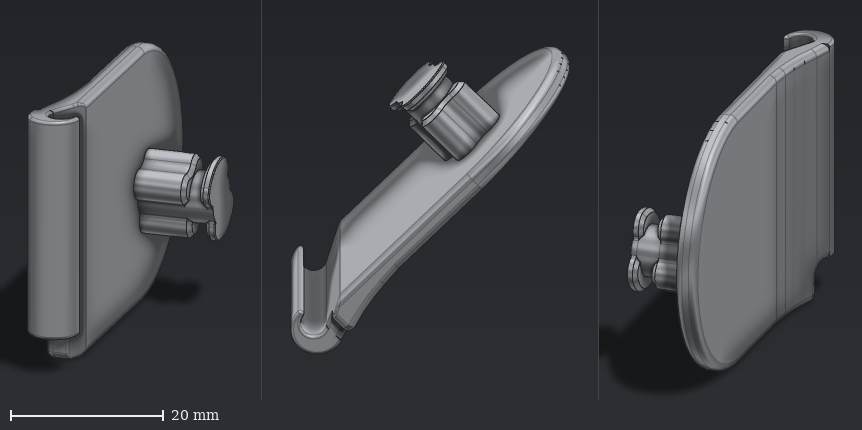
import cadquery as cq
import math

plate_thickness = 2.9
plate_height = 35.0
plate_half_height = plate_height / 2
arch_radius = 17.55
plate_bottom_y = -22.6
plate_round = 1.0

back_flat_end = (-plate_thickness, -14.45)
back_tilt_end = (-3.15, -17.3)
back_sweep_end = (-4.8, -24.98)

hook_center = (-2.15, -28.8)
hook_radius = 3.6
hook_start_angle = 163
hook_side_angle = 190
hook_joint = (-4.75, -31.3)
lower_hook_radius = 3.25
throat_radius = 1.7
throat_center = (-1.3, -28.65)
tip_angle = -9.4
tip_radius = 0.45
tip_outer_angle = 3
hook_round = 0.4

notch_y = -25.5
notch_z = -12.55
notch_inner_round = 1.9
notch_outer_round = 1.0

stud_axis = (0, 0)
stud_y = 1.75
stud_z = -2.5
core_radius = 3.5
lobe_center_radius = 3.55
lobe_radius = 2.05
lobe_fillet = 0.5
first_wing_angle = 113.5
wing_angles = (first_wing_angle, first_wing_angle + 180)
lobe_half_spread = 35
stud_outer_radius = lobe_center_radius + lobe_radius
collar_length = 7.1
collar_chamfer = 0.6
flange_start = 9.05
stud_length = 10.45
flange_chamfer = 0.55
flange_end_chamfer = 0.15

tolerance = 0.005
parallel = 0.99


def polar(center, radius, angle):
    """Point at a radius and an angle in degrees around a center."""
    a = math.radians(angle)
    return (center[0] + radius * math.cos(a), center[1] + radius * math.sin(a))


hook_start = polar(hook_center, hook_radius, hook_start_angle)
hook_side = polar(hook_center, hook_radius, hook_side_angle)
throat_rise = hook_start[1] - throat_center[1]
throat_start = (throat_center[0] - math.sqrt(throat_radius**2 - throat_rise**2), hook_start[1])
throat_bottom = polar(throat_center, throat_radius, 270)
tip_center = polar(throat_center, throat_radius + tip_radius, tip_angle)
tip_inner = polar(throat_center, throat_radius, tip_angle)
tip_top = polar(tip_center, tip_radius, 90)
tip_outer = polar(tip_center, tip_radius, tip_outer_angle)
lower_hook_center = polar(tip_center, lower_hook_radius - tip_radius, tip_outer_angle + 180)
hook_lowest = polar(lower_hook_center, lower_hook_radius, 270)


def fillet_where(solid, edges, test, radius):
    """Fillet those of the given edges that pass a test."""
    return solid.newObject([edge for edge in edges if test(edge)]).fillet(radius)


def plate_outline():
    """Side outline of the plate in YZ: arched end toward +Y, notch at the hook end."""
    arch_start_y = math.sqrt(arch_radius**2 - plate_half_height**2)
    end_y = hook_lowest[1]
    inner_round_start = notch_y - notch_inner_round
    return (
        cq.Workplane("YZ")
        .moveTo(end_y, plate_half_height)
        .lineTo(arch_start_y, plate_half_height)
        .threePointArc((arch_radius, 0), (arch_start_y, -plate_half_height))
        .lineTo(notch_y + notch_outer_round, -plate_half_height)
        .radiusArc((notch_y, -plate_half_height + notch_outer_round), notch_outer_round)
        .lineTo(notch_y, notch_z - notch_inner_round)
        .radiusArc((inner_round_start, notch_z), -notch_inner_round)
        .lineTo(end_y, notch_z)
        .close()
        .extrude(2 * hook_radius, both=True)
    )


def is_plate_rim(edge):
    """True for the long edges where the front and back skins meet the plate outline."""
    middle = edge.positionAt(0.5)
    across_thickness = abs(edge.tangentAt(0.5).x) > parallel
    on_hook_side = middle.y < hook_start[1] + tolerance
    bend_line = (edge.geomType() == "LINE" and abs(edge.tangentAt(0.5).z) > parallel
                 and middle.y > notch_y + tolerance)
    return not (across_thickness or on_hook_side or bend_line)


def is_ramp_rim(edge):
    """True for the edges around the ramp that leads from the plate front into the throat."""
    middle = edge.positionAt(0.5)
    at_ramp_end = middle.y > plate_bottom_y - tolerance or middle.y < throat_start[1] + tolerance
    full_height = edge.Length() > plate_half_height
    return not (at_ramp_end and full_height)


def make_plate():
    slab = (
        cq.Workplane("XY")
        .moveTo(-plate_thickness, arch_radius)
        .lineTo(*back_flat_end)
        .lineTo(*back_tilt_end)
        .tangentArcPoint(back_sweep_end, relative=False)
        .lineTo(*hook_start)
        .lineTo(0, hook_start[1])
        .lineTo(0, arch_radius)
        .close()
        .extrude(plate_half_height, both=True)
    )
    slab = slab.intersect(plate_outline())
    slab = fillet_where(slab, slab.edges().vals(), is_plate_rim, plate_round)

    ramp_cut = (
        cq.Workplane("XY")
        .moveTo(*throat_start)
        .lineTo(0, plate_bottom_y)
        .lineTo(plate_thickness, plate_bottom_y)
        .lineTo(plate_thickness, hook_lowest[1])
        .lineTo(throat_start[0], hook_lowest[1])
        .close()
        .extrude(2 * plate_half_height, both=True)
    )
    plate = slab.cut(ramp_cut)
    ramp_center = (throat_start[0] / 2, (throat_start[1] + plate_bottom_y) / 2, 0)
    ramp_face = plate.faces(cq.selectors.NearestToPointSelector(ramp_center))
    return fillet_where(plate, ramp_face.edges().vals(), is_ramp_rim, hook_round)


def make_hook():
    profile = (
        cq.Workplane("XY")
        .workplane(offset=notch_z)
        .moveTo(*hook_start)
        .threePointArc(hook_side, hook_joint)
        .threePointArc(hook_lowest, tip_outer)
        .threePointArc(tip_top, tip_inner)
        .threePointArc(throat_bottom, throat_start)
        .close()
    )
    hook = profile.extrude(plate_half_height - notch_z)
    return hook.faces("<Z or >Z").edges("%CIRCLE").fillet(hook_round)


def stud_prism(points, length):
    return cq.Workplane("YZ").polyline(points).close().extrude(length)


def stud_disc(center, radius, length):
    return cq.Workplane("YZ").center(*center).circle(radius).extrude(length)


def make_web(length, lobe_angles, has_valley):
    """Fill between two lobes: dips in a rounded valley, or follows the outer circle."""
    first_lobe, second_lobe = [polar(stud_axis, lobe_center_radius, angle) for angle in lobe_angles]
    wing_angle = sum(lobe_angles) / 2
    if has_valley:
        half_gap = lobe_center_radius * math.sin(math.radians(lobe_half_spread))
        lobe_middle = lobe_center_radius * math.cos(math.radians(lobe_half_spread))
        valley_distance = lobe_middle + math.sqrt((2 * lobe_radius) ** 2 - half_gap**2)
        valley_center = polar(stud_axis, valley_distance, wing_angle)
        web = stud_prism([stud_axis, first_lobe, valley_center, second_lobe], length)
        return web.cut(stud_disc(valley_center, lobe_radius, length))
    sector_reach = 2 * stud_outer_radius
    sector_angles = (lobe_angles[0], wing_angle, lobe_angles[1])
    sector = [polar(stud_axis, sector_reach, angle) for angle in sector_angles]
    web = stud_prism([stud_axis] + sector, length)
    return web.intersect(stud_disc(stud_axis, stud_outer_radius, length))


def is_lobe_root(edge):
    """True for the lengthwise edges where a lobe rises from the core."""
    middle = edge.positionAt(0.5)
    lengthwise = abs(edge.tangentAt(0.5).x) > parallel
    return lengthwise and abs(math.hypot(middle.y, middle.z) - core_radius) < tolerance


def make_wings(length, has_valley):
    """Core with both wings, their lobes blended into the core."""
    body = stud_disc(stud_axis, core_radius, length)
    for wing_angle in wing_angles:
        lobe_angles = (wing_angle - lobe_half_spread, wing_angle + lobe_half_spread)
        body = body.union(make_web(length, lobe_angles, has_valley))
        for angle in lobe_angles:
            lobe_center = polar(stud_axis, lobe_center_radius, angle)
            body = body.union(stud_disc(lobe_center, lobe_radius, length))
    body = body.clean()
    return fillet_where(body, body.edges().vals(), is_lobe_root, lobe_fillet)


def make_stud():
    collar = make_wings(collar_length, has_valley=True)
    collar = collar.faces(">X").edges().chamfer(collar_chamfer)

    flange = make_wings(stud_length - flange_start, has_valley=False)
    flange = flange.faces("<X").edges().chamfer(flange_chamfer)
    flange = flange.faces(">X").edges().chamfer(flange_end_chamfer)

    core = stud_disc(stud_axis, core_radius, stud_length)
    stud = core.union(collar).union(flange.translate((flange_start, 0, 0)))
    return stud.translate((0, stud_y, stud_z))


result = make_plate().union(make_hook()).union(make_stud())